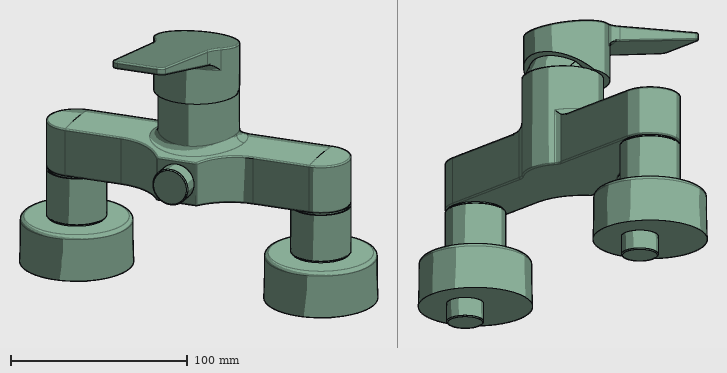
import cadquery as cq
import math

overshoot = 4.3

overall_length = 215.0
flange_radius = 32.5
half_pitch = overall_length / 2 - flange_radius
flange_top_radius = 32.0
flange_round = 2.1
flange_bottom_z = 11.5
flange_top_z = 38.7
stub_radius = 10.5
stub_offset_y = 7.7
stub_chamfer = 0.6
leg_radius = 17.2
groove_radius = 16.3
groove_height = 1.0

body_bottom_z = 68.8
crown_top_z = 98.2
crown_radius = 163.4
crown_reach = 36.5
arm_half_width = leg_radius
nose_half_width = 12.3
nose_front_y = -32.5
cove_start_x = 40.6
body_edge_round = 0.9

column_radius = 23.2
column_top_z = 128.0
column_back_fillet = 6.5
column_base_fillet = 4.7
flare_margin = 0.5
neck_base_radius = 22.4
neck_half_width = 19.1
neck_slope = 25.0

spout_radius = 10.7
spout_length = 9.7
spout_z = 82.0
spout_chamfer = 0.6

cap_radius = 24.5
cap_center_y = -3.0
cap_back_y = cap_center_y + cap_radius
cap_back_bottom_z = 138.5
cap_relief_front_y = -2.1
blade_tip_y = -90.3
blade_tip_z = 173.3
blade_tip_thickness = 4.3
blade_root_half_width = 17.2
blade_tip_half_width = 16.0
blade_corner_radius = 3.9
blade_neck_radius = 21.5
blade_top_slope = 10.0
blade_underside_slope = 14.3
blade_root_fillet = 3.9
blade_root_reach = 28.0
handle_edge_round = 0.9


def disk(radius, bottom_z, top_z, x=0.0, y=0.0):
    """Upright cylinder between two heights."""
    return cq.Workplane("XY", origin=(x, y, bottom_z)).circle(radius).extrude(top_z - bottom_z)


def wall_connection(x):
    """Offset stub, tapered flange and grooved leg below one end of the body."""
    stub = disk(stub_radius, 0, flange_top_z, x, stub_offset_y).faces("<Z").chamfer(stub_chamfer)
    flange = (
        cq.Workplane("XZ", origin=(x, 0, 0))
        .moveTo(0, flange_bottom_z)
        .lineTo(flange_radius, flange_bottom_z)
        .threePointArc(
            (flange_top_radius, (flange_bottom_z + flange_top_z) / 2),
            (flange_top_radius, flange_top_z),
        )
        .lineTo(0, flange_top_z)
        .close()
        .revolve()
        .faces(">Z")
        .edges()
        .fillet(flange_round)
    )
    leg = disk(leg_radius, flange_top_z + groove_height, body_bottom_z - groove_height, x)
    groove_core = disk(groove_radius, flange_top_z, body_bottom_z, x)
    return stub.union(flange).union(groove_core).union(leg)


def body_plan():
    """Round-ended bar that widens to a square nose through two concave arcs."""
    cove_width = cove_start_x - nose_half_width
    cove_depth = -arm_half_width - nose_front_y
    cove_radius = (cove_width**2 + cove_depth**2) / (2 * cove_depth)
    cove_center_y = -arm_half_width - cove_radius
    half_angle = math.asin(cove_width / cove_radius) / 2
    mid_x = cove_start_x - cove_radius * math.sin(half_angle)
    mid_y = cove_center_y + cove_radius * math.cos(half_angle)
    end_x = half_pitch + arm_half_width
    return (
        cq.Workplane("XY", origin=(0, 0, body_bottom_z))
        .moveTo(-half_pitch, arm_half_width)
        .lineTo(half_pitch, arm_half_width)
        .threePointArc((end_x, 0), (half_pitch, -arm_half_width))
        .lineTo(cove_start_x, -arm_half_width)
        .threePointArc((mid_x, mid_y), (nose_half_width, nose_front_y))
        .lineTo(-nose_half_width, nose_front_y)
        .threePointArc((-mid_x, mid_y), (-cove_start_x, -arm_half_width))
        .lineTo(-half_pitch, -arm_half_width)
        .threePointArc((-end_x, 0), (-half_pitch, arm_half_width))
        .close()
    )


def crown_envelope():
    """Solid under the crown: an arched prism with a half-turn of the same arch at each end."""
    crown_center_z = crown_top_z - crown_radius
    rim_z = crown_center_z + math.sqrt(crown_radius**2 - crown_reach**2)
    arch = (
        cq.Workplane("YZ", origin=(-half_pitch, 0, 0))
        .moveTo(-crown_reach, body_bottom_z)
        .lineTo(crown_reach, body_bottom_z)
        .lineTo(crown_reach, rim_z)
        .threePointArc((0, crown_top_z), (-crown_reach, rim_z))
        .close()
        .extrude(2 * half_pitch)
    )
    mid_reach = crown_reach / 2
    mid_z = crown_center_z + math.sqrt(crown_radius**2 - mid_reach**2)
    for x, axis_direction in ((-half_pitch, 1), (half_pitch, -1)):
        end_dome = (
            cq.Workplane("YZ", origin=(x, 0, 0))
            .moveTo(0, body_bottom_z)
            .lineTo(crown_reach, body_bottom_z)
            .lineTo(crown_reach, rim_z)
            .threePointArc((mid_reach, mid_z), (0, crown_top_z))
            .close()
            .revolve(180, (0, 0), (0, axis_direction))
        )
        arch = arch.union(end_dome)
    return arch


def bar():
    """Crowned bar with its top rim and nose corners rounded."""
    nose_corners = cq.selectors.BoxSelector(
        (-half_pitch / 2, nose_front_y - overshoot, body_bottom_z),
        (half_pitch / 2, nose_front_y + overshoot, crown_top_z - overshoot),
    )
    sharp = body_plan().extrude(column_top_z - body_bottom_z).intersect(crown_envelope())
    cornered = sharp.edges("|Z").edges(nose_corners).fillet(body_edge_round)
    nose_top = (0, nose_front_y, crown_top_z)
    return cornered.edges(cq.NearestToPointSelector(nose_top)).fillet(body_edge_round)


def column():
    """Central column flaring into the crown, trimmed behind to the back wall of the bar."""
    height = column_top_z - body_bottom_z
    shaft = disk(column_radius, body_bottom_z, column_top_z)
    corner_x = math.sqrt(column_radius**2 - arm_half_width**2)
    trim = body_plan().extrude(height).union(shaft)
    for side in (-1, 1):
        corner = (side * corner_x, arm_half_width, body_bottom_z + height / 2)
        trim = trim.edges(cq.NearestToPointSelector(corner)).fillet(column_back_fillet)

    column_seam = cq.selectors.BoxSelector(
        (-column_radius, -column_radius, crown_top_z - overshoot),
        (column_radius, column_radius, crown_top_z + overshoot),
    )
    flared = crown_envelope().union(shaft).edges(column_seam).fillet(column_base_fillet)
    flare_reach = disk(column_radius + column_base_fillet + flare_margin, body_bottom_z, column_top_z)
    return flared.intersect(trim).intersect(flare_reach)


def body():
    """Bar and column in one piece with a rounded bottom rim."""
    return bar().union(column()).faces("<Z").edges().fillet(body_edge_round)


def neck():
    """Tapered, flat-sided neck carrying the handle."""
    height = cap_back_bottom_z - column_top_z
    base = cq.Workplane("XY", origin=(0, 0, column_top_z))
    cone = base.circle(neck_base_radius).extrude(height, taper=neck_slope)
    flats = base.rect(2 * neck_half_width, 2 * neck_base_radius).extrude(height)
    return cone.intersect(flats)


def spout():
    """Short round outlet standing on the nose face."""
    return (
        cq.Workplane("XZ", origin=(0, nose_front_y, spout_z))
        .circle(spout_radius)
        .extrude(spout_length)
        .faces("<Y")
        .chamfer(spout_chamfer)
    )


def blade_outline():
    """Tapering blade plan that flows out of the round cap through two neck arcs."""
    neck_x = blade_root_half_width + blade_neck_radius
    center_distance = cap_radius + blade_neck_radius
    neck_y = cap_center_y - math.sqrt(center_distance**2 - neck_x**2)
    tangent_x = neck_x * cap_radius / center_distance
    tangent_y = cap_center_y + (neck_y - cap_center_y) * cap_radius / center_distance
    half_angle = math.atan2(tangent_y - neck_y, neck_x - tangent_x) / 2
    mid_x = neck_x - blade_neck_radius * math.cos(half_angle)
    mid_y = neck_y + blade_neck_radius * math.sin(half_angle)
    return (
        cq.Workplane("XY", origin=(0, 0, column_top_z))
        .moveTo(-tangent_x, tangent_y)
        .threePointArc((-mid_x, mid_y), (-blade_root_half_width, neck_y))
        .lineTo(-blade_tip_half_width, blade_tip_y)
        .lineTo(blade_tip_half_width, blade_tip_y)
        .lineTo(blade_root_half_width, neck_y)
        .threePointArc((mid_x, mid_y), (tangent_x, tangent_y))
        .close()
    )


def side_solid(points):
    """Profile in the YZ plane extruded across the full handle width."""
    width = 3 * cap_radius
    return cq.Workplane("YZ", origin=(-width / 2, 0, 0)).polyline(points).close().extrude(width)


def handle():
    """Slanted cap with a thin blade rising over the nose."""
    top_tan = math.tan(math.radians(blade_top_slope))
    under_tan = math.tan(math.radians(blade_underside_slope))
    top_back_z = blade_tip_z - top_tan * (cap_back_y - blade_tip_y)
    under_tip_z = blade_tip_z - blade_tip_thickness

    stock_top_z = blade_tip_z + overshoot
    cap = disk(cap_radius, column_top_z, stock_top_z, y=cap_center_y)
    slab_back_y = cap_back_y + 2 * overshoot
    slab = side_solid([
        (blade_tip_y, under_tip_z),
        (blade_tip_y, stock_top_z),
        (slab_back_y, stock_top_z),
        (slab_back_y, under_tip_z - under_tan * (slab_back_y - blade_tip_y)),
    ])
    under_center_z = under_tip_z - under_tan * (cap_center_y - blade_tip_y)
    cap_front = (0, cap_center_y, under_center_z)
    blended = cap.union(slab).edges(cq.NearestToPointSelector(cap_front)).fillet(blade_root_fillet)
    blade_trim = (
        blade_outline()
        .extrude(stock_top_z - column_top_z)
        .edges("|Z and <Y")
        .fillet(blade_corner_radius)
    )
    root_reach = disk(blade_root_reach, column_top_z, blade_tip_z, y=cap_center_y)
    root = blended.intersect(blade_trim).intersect(root_reach)
    under_tip = (0, blade_tip_y, under_tip_z)
    blade = (
        slab.intersect(blade_trim)
        .edges(cq.NearestToPointSelector(under_tip))
        .fillet(handle_edge_round)
    )
    above_top = side_solid([
        (blade_tip_y, blade_tip_z),
        (cap_back_y, top_back_z),
        (cap_back_y, stock_top_z),
        (blade_tip_y, stock_top_z),
    ])
    back_relief = side_solid([
        (cap_relief_front_y, column_top_z),
        (cap_back_y, column_top_z),
        (cap_back_y, cap_back_bottom_z),
    ])
    sharp = cap.union(root).union(blade).cut(above_top).cut(back_relief)
    top_tip = (0, blade_tip_y, blade_tip_z)
    return sharp.edges(cq.NearestToPointSelector(top_tip)).fillet(handle_edge_round)


result = body().union(neck()).union(spout()).union(handle())
for side in (-1, 1):
    result = result.union(wall_connection(side * half_pitch))